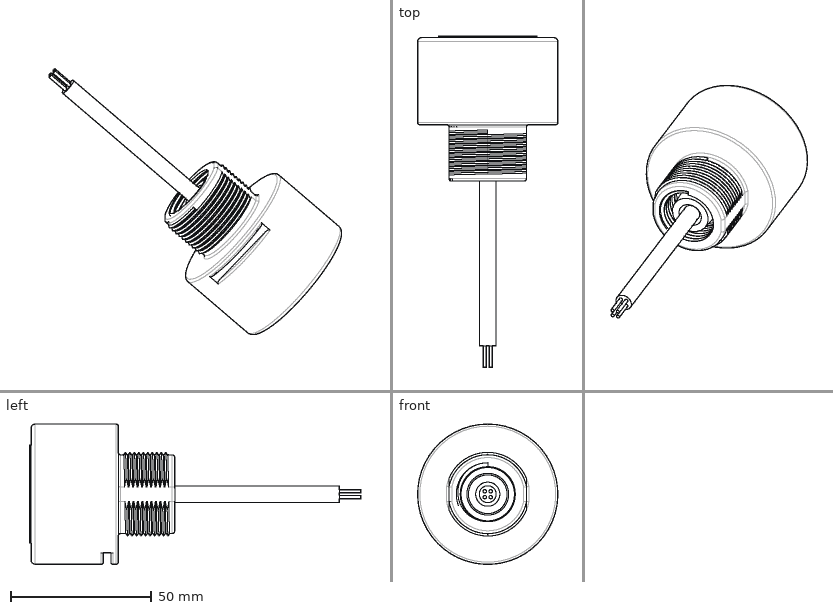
import cadquery as cq


OVERLAP = 1.0
THREAD_OVERLAP = 0.1
PICK_SLACK = 0.1

HOUSING_RADIUS = 25.0
HOUSING_LENGTH = 31.1
BACK_EDGE_FILLET = 1.5
FRONT_EDGE_FILLET = 0.8
BACK_PAD_RADIUS = 17.5
BACK_PAD_HEIGHT = 0.5

NOTCH_FRONT = 2.7
NOTCH_WIDTH = 2.6
NOTCH_DEPTH = 4.1
NOTCH_EDGE_FILLET = 0.8

NECK_RADIUS = 14.05
NECK_LENGTH = 20.1
NECK_FLATS_WIDTH = 27.6
NECK_EDGE_FILLET = 1.0
NECK_ROOT_FILLET = 0.85

THREAD_PITCH = 1.6
THREAD_CREST_RADIUS = 14.9
THREAD_BACK = 2.5
THREAD_HALF_TURNS = 19
THREAD_HALF_WIDTH = 0.7

THREADED_BORE_RADIUS = 9.8
THREADED_BORE_DEPTH = 10.5
BORE_RADIUS = 9.5
BORE_DEPTH = 12.0
GROOVE_PITCH = 1.8
GROOVE_ROOT_RADIUS = 11.2
GROOVE_TURNS = 5
GROOVE_MOUTH_HALF_WIDTH = 0.85
GROOVE_ROOT_HALF_WIDTH = 0.2

GLAND_BASE_RADIUS = 7.5
GLAND_FACE_RADIUS = 6.9
GLAND_SETBACK = 2.0
FUNNEL_RADIUS = 4.3
FUNNEL_DEPTH = 1.5

CABLE_RADIUS = 3.0
WIRE_RADIUS = 0.6
WIRE_OFFSET = 1.05
WIRE_LENGTH = 7.66
OVERALL_LENGTH = 117.96

NECK_END = -NECK_LENGTH
BORE_FLOOR = NECK_END + BORE_DEPTH
GLAND_FACE = NECK_END + GLAND_SETBACK
WIRE_END = HOUSING_LENGTH + BACK_PAD_HEIGHT - OVERALL_LENGTH
CABLE_END = WIRE_END + WIRE_LENGTH


def cylinder(radius, y_start, y_end, x=0.0, z=0.0):
    """Cylinder parallel to Y between two Y positions."""
    return cq.Workplane(
        cq.Solid.makeCylinder(radius, y_end - y_start, cq.Vector(x, y_start, z), cq.Vector(0, 1, 0))
    )


def cone(radius_start, radius_end, y_start, y_end):
    """Cone on the Y axis between two Y positions."""
    return cq.Workplane(
        cq.Solid.makeCone(
            radius_start, radius_end, y_end - y_start, cq.Vector(0, y_start, 0), cq.Vector(0, 1, 0)
        )
    )


def helical_solid(profile, pitch, turns, y_start, starts_at_top, lefthand):
    """Sweep a (radius, axial offset) profile along a helix that advances toward +Y.

    The profile begins at y_start, straight above or straight below the axis.
    """
    helix_radius = profile[0][0]
    helix = cq.Wire.makeHelix(pitch, turns * pitch, helix_radius, lefthand=lefthand)
    swept = cq.Workplane("XZ").polyline(profile).close().sweep(cq.Workplane(helix), isFrenet=True)
    along_y = swept.rotate((0, 0, 0), (1, 0, 0), -90)
    start_angle = -90 if starts_at_top else 90
    return along_y.rotate((0, 0, 0), (0, 1, 0), start_angle).translate((0, y_start, 0))


def make_housing():
    body = cylinder(HOUSING_RADIUS, 0, HOUSING_LENGTH)
    body = body.faces(">Y").edges().fillet(BACK_EDGE_FILLET)
    body = body.faces("<Y").edges().fillet(FRONT_EDGE_FILLET)
    floor = NOTCH_DEPTH - HOUSING_RADIUS
    notch = cq.Workplane("XY").box(
        2 * HOUSING_RADIUS, NOTCH_WIDTH, HOUSING_RADIUS, centered=(True, False, False)
    )
    body = body.cut(notch.translate((0, NOTCH_FRONT, floor - HOUSING_RADIUS)))
    rim = cq.selectors.BoxSelector(
        (-HOUSING_RADIUS, NOTCH_FRONT - PICK_SLACK, -HOUSING_RADIUS - PICK_SLACK),
        (HOUSING_RADIUS, NOTCH_FRONT + NOTCH_WIDTH + PICK_SLACK, floor - PICK_SLACK),
    )
    body = body.edges(rim).edges("%CIRCLE").fillet(NOTCH_EDGE_FILLET)
    pad = cylinder(BACK_PAD_RADIUS, HOUSING_LENGTH - OVERLAP, HOUSING_LENGTH + BACK_PAD_HEIGHT)
    return body.union(pad)


def slab():
    """Space between the two neck flats."""
    return cq.Workplane("XY").box(NECK_FLATS_WIDTH, 2 * NECK_LENGTH, 4 * NECK_RADIUS)


def make_thread_pieces():
    """Half turns of the ridge, end to end, each trimmed to the neck flats."""
    root = NECK_RADIUS - THREAD_OVERLAP
    profile = [
        (root, -THREAD_HALF_WIDTH),
        (THREAD_CREST_RADIUS, 0),
        (root, THREAD_HALF_WIDTH),
    ]
    start = -THREAD_BACK - THREAD_HALF_TURNS * THREAD_PITCH / 2
    half_turn = helical_solid(
        profile, THREAD_PITCH, 0.5, start, starts_at_top=False, lefthand=False
    )
    half_turn = half_turn.intersect(slab())
    pieces = []
    for step in range(THREAD_HALF_TURNS):
        piece = half_turn.rotate((0, 0, 0), (0, 1, 0), 180 * step)
        pieces.append(piece.translate((0, step * THREAD_PITCH / 2, 0)).val())
    return pieces


def add_neck(housing):
    neck = cylinder(NECK_RADIUS, NECK_END, OVERLAP).intersect(slab())
    neck = neck.faces("<Y").edges().fillet(NECK_EDGE_FILLET)
    body = housing.union(neck)
    reach = NECK_RADIUS + OVERLAP
    root = cq.selectors.BoxSelector(
        (-reach, -PICK_SLACK, -reach), (reach, PICK_SLACK, reach), boundingbox=True
    )
    return body.edges(root).fillet(NECK_ROOT_FILLET)


def cut_bore(body):
    body = body.cut(cylinder(BORE_RADIUS, NECK_END, BORE_FLOOR))
    body = body.cut(cylinder(THREADED_BORE_RADIUS, NECK_END, NECK_END + THREADED_BORE_DEPTH))
    inner = THREADED_BORE_RADIUS - THREAD_OVERLAP
    profile = [
        (inner, -GROOVE_MOUTH_HALF_WIDTH),
        (GROOVE_ROOT_RADIUS, -GROOVE_ROOT_HALF_WIDTH),
        (GROOVE_ROOT_RADIUS, GROOVE_ROOT_HALF_WIDTH),
        (inner, GROOVE_MOUTH_HALF_WIDTH),
    ]
    groove = helical_solid(
        profile, GROOVE_PITCH, GROOVE_TURNS, NECK_END, starts_at_top=True, lefthand=True
    )
    return body.cut(groove)


def make_gland():
    gland = cone(GLAND_FACE_RADIUS, GLAND_BASE_RADIUS, GLAND_FACE, BORE_FLOOR + OVERLAP)
    funnel = cone(FUNNEL_RADIUS, CABLE_RADIUS, GLAND_FACE, GLAND_FACE + FUNNEL_DEPTH)
    return gland.cut(funnel)


def make_cable():
    cable = cylinder(CABLE_RADIUS, CABLE_END, BORE_FLOOR)
    for x in (-WIRE_OFFSET, WIRE_OFFSET):
        for z in (-WIRE_OFFSET, WIRE_OFFSET):
            cable = cable.union(cylinder(WIRE_RADIUS, WIRE_END, CABLE_END + OVERLAP, x, z))
    return cable


plain_body = cut_bore(add_neck(make_housing()))
core = plain_body.union(make_gland()).union(make_cable())
threaded = cq.Workplane(core.val().fuse(*make_thread_pieces())).clean()
result = threaded.solids()